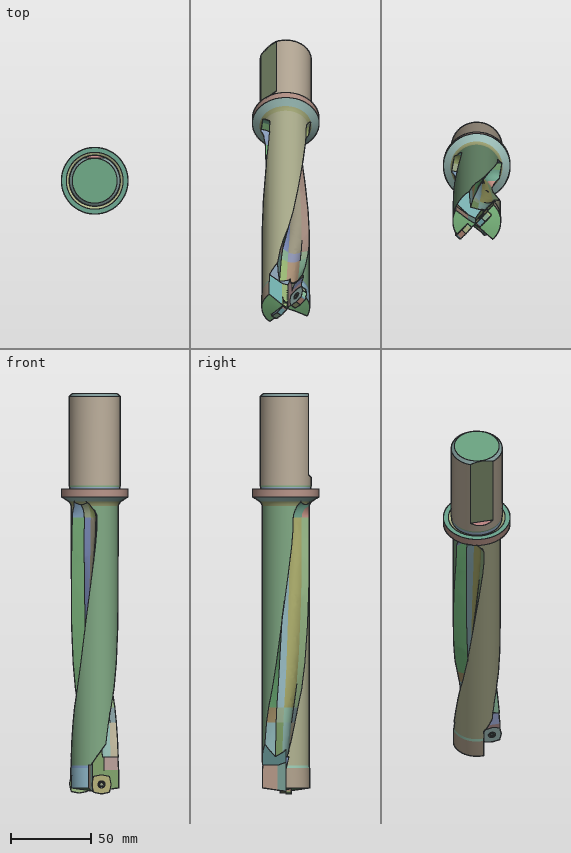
import cadquery as cq


overall_length = 249.3
shank_radius = 16.0
shank_bottom_z = 192.0
shank_chamfer_width = 2.0
shank_chamfer_height = 1.7
flat_offset = 14.2
flat_bottom_z = 197.0
neck_radius = 15.7
neck_top_z = 191.0
neck_bottom_z = 189.0
neck_recess_radius = 17.7
collar_radius = 41.6 / 2
collar_top_z = 190.0
collar_bottom_z = 185.0
cone_bottom_z = 182.0
cone_bottom_radius = 16.2
body_top_z = 179.2
blend_radius = 15.2

body_radius = 14.7
head_radius = 15.0
head_step_top_z = 17.7
head_step_bottom_z = 16.0
point_rim_z = 3.7
point_center_z = 1.5

flute_mouth = 15.0
flute_floor_start = (4.2, -5.0)
flute_floor_end = (3.7, -0.2)
flute_wall_mid = (4.7, 3.5)
flute_wall_top = (8.0, 6.2)
flute_lead_t = -10.7
flute_trail_t = 13.0
flute_end_trail_t = 8.7

lower_flute_stations = [(23.2, 151), (44.4, 163), (53.8, 171)]
upper_flute_stations = [lower_flute_stations[-1], (79.8, 193), (107.2, 208), (132, 221), (159.5, 234), (172, 236)]

rake_plane_y = 0.0
chip_slope_corner = (-2.5, 18.0)
chip_slope_rise = 1.4
center_wall = [(-1.2, rake_plane_y), (-2.5, -5.0), (-3.7, -14.2)]
outer_wall = [(2.0, rake_plane_y), (1.2, -4.0), (1.2, -14.2)]
ramp_bottom_z = 14.7
ramp_depth = 2.0
ramp_start_x = 5.7

insert_corner = 5.0
insert_bulge = 6.0
insert_corner_round = 1.0
insert_thickness = 3.5
insert_bore_diameter = 3.5
insert_seat_diameter = 4.5
insert_seat_depth = 1.7
center_insert_x = 4.2
center_insert_z = insert_bulge
outer_insert_x = -9.7
outer_insert_z = 6.5
screw_head_diameter = 4.2
screw_diameter = 3.0
screw_length = 8.5
socket_diameter = 2.37
socket_depth = 1.0


def turned_blank():
    """Shank, collar, body and pointed head, turned about Z."""
    outline = (
        cq.Workplane("XZ")
        .moveTo(0, point_center_z)
        .lineTo(head_radius, point_rim_z)
        .lineTo(head_radius, head_step_bottom_z)
        .lineTo(body_radius, head_step_top_z)
        .lineTo(body_radius, body_top_z)
        .threePointArc(
            (blend_radius, (body_top_z + cone_bottom_z) / 2),
            (cone_bottom_radius, cone_bottom_z),
        )
        .lineTo(collar_radius, collar_bottom_z)
        .lineTo(collar_radius, collar_top_z)
        .lineTo(neck_recess_radius, collar_top_z)
        .lineTo(neck_radius, neck_bottom_z)
        .lineTo(neck_radius, neck_top_z)
        .lineTo(shank_radius, shank_bottom_z)
        .lineTo(shank_radius, overall_length - shank_chamfer_height)
        .lineTo(shank_radius - shank_chamfer_width, overall_length)
        .lineTo(0, overall_length)
        .close()
    )
    return outline.revolve(360, (0, 0, 0), (0, 1, 0))


def clamping_flat():
    """Cutter for the flat on the +Y side of the shank, with a 45 degree lower end."""
    reach = 2 * (shank_radius - flat_offset)
    ledge_z = flat_bottom_z + shank_radius - flat_offset
    return (
        cq.Workplane("YZ")
        .moveTo(flat_offset, overall_length)
        .lineTo(flat_offset, ledge_z)
        .lineTo(flat_offset + reach, ledge_z - reach)
        .lineTo(flat_offset + reach, overall_length)
        .close()
        .extrude(shank_radius, both=True)
    )


def flute_section(z, angle, trail_t=flute_trail_t):
    """Flute cross-section at height z, opening in the direction of the angle."""
    return (
        cq.Workplane("XY", origin=(0, 0, z))
        .transformed(rotate=(0, 0, angle))
        .moveTo(flute_mouth, flute_lead_t)
        .lineTo(*flute_floor_start)
        .lineTo(*flute_floor_end)
        .threePointArc(flute_wall_mid, flute_wall_top)
        .lineTo(flute_mouth, trail_t)
        .close()
    )


def loft_through(sections):
    """Solid passing smoothly through the given cross-sections."""
    return cq.Workplane(cq.Solid.makeLoft([section.wire().val() for section in sections]))


def flute_cutters():
    """Twisted pieces of one flute and the curved run-out at its upper end."""
    end_station, middle_station, upper_station = lower_flute_stations
    end_section = flute_section(*end_station, flute_end_trail_t)
    end_piece = loft_through([end_section, flute_section(*middle_station)])
    middle_piece = loft_through([flute_section(*middle_station), flute_section(*upper_station)])
    long_piece = loft_through([flute_section(*station) for station in upper_flute_stations])
    run_out = flute_section(*upper_flute_stations[-1]).revolve(90, (flute_mouth, 0, 0), (flute_mouth, 1, 0))
    return [end_piece, middle_piece, long_piece, run_out]


def chip_space(wall):
    """Space in front of the insert on the -Y side, bounded by the rake plane and the given wall points."""
    reach = 2 * body_radius
    corner_x, corner_z = chip_slope_corner
    plan = (
        cq.Workplane("XY")
        .polyline([(reach, rake_plane_y), *wall, (wall[-1][0], -reach), (reach, -reach)])
        .close()
        .extrude(body_top_z)
    )
    below_slope = (
        cq.Workplane("XZ")
        .polyline([
            (-reach, 0),
            (reach, 0),
            (reach, corner_z + chip_slope_rise * (reach - corner_x)),
            (corner_x, corner_z),
            (-reach, corner_z),
        ])
        .close()
        .extrude(reach)
    )
    return plan.intersect(below_slope)


def chip_ramp():
    """Ramp that brings the deeper flute floor out to the rake plane above the insert."""
    ramp_top_z = lower_flute_stations[0][0]
    return (
        cq.Workplane("YZ", origin=(ramp_start_x, 0, 0))
        .moveTo(rake_plane_y, ramp_bottom_z)
        .lineTo(rake_plane_y + ramp_depth, ramp_top_z)
        .lineTo(rake_plane_y, ramp_top_z)
        .close()
        .extrude(body_radius)
    )


def half_turn(shape):
    """The shape turned to the opposite side of the drill axis."""
    return shape.rotate((0, 0, 0), (0, 0, 1), 180)


def insert():
    """Insert centered on the Y axis, cutting face at y = 0 toward -Y, with a stepped screw hole."""
    c, b = insert_corner, insert_bulge
    plate = (
        cq.Workplane("XZ")
        .polyline([(b, 0), (c, c), (0, b), (-c, c), (-b, 0), (-c, -c), (0, -b), (c, -c)])
        .close()
        .extrude(-insert_thickness)
    )
    for x in (-c, c):
        for z in (-c, c):
            corner_edge = cq.selectors.NearestToPointSelector((x, insert_thickness / 2, z))
            plate = plate.edges(corner_edge).fillet(insert_corner_round)
    bore = cq.Workplane("XZ").circle(insert_bore_diameter / 2).extrude(-insert_thickness)
    seat = cq.Workplane("XZ").circle(insert_seat_diameter / 2).extrude(-insert_seat_depth)
    return plate.cut(bore).cut(seat)


def screw():
    """Screw on the Y axis with its head toward -Y, flush with the cutting face."""
    head = cq.Workplane("XZ").circle(screw_head_diameter / 2).extrude(-insert_seat_depth)
    shaft = cq.Workplane("XZ").circle(screw_diameter / 2).extrude(-screw_length)
    socket = cq.Workplane("XZ").circle(socket_diameter / 2).extrude(-socket_depth)
    return head.union(shaft).cut(socket)


def at_center_pocket(shape):
    return shape.translate((center_insert_x, rake_plane_y, center_insert_z))


def at_outer_pocket(shape):
    return half_turn(shape).translate((outer_insert_x, rake_plane_y, outer_insert_z))


def insert_pocket():
    """Recess for a whole insert, with the screw hole behind it."""
    bore = cq.Workplane("XZ").circle(insert_seat_diameter / 2).extrude(-insert_thickness)
    hole = cq.Workplane("XZ").circle(screw_diameter / 2).extrude(-screw_length)
    return insert().union(bore).union(hole)


body = turned_blank().cut(clamping_flat())
for cutter in flute_cutters():
    body = body.cut(cutter).cut(half_turn(cutter))
body = body.cut(chip_space(center_wall)).cut(half_turn(chip_space(outer_wall)))
body = body.cut(chip_ramp()).cut(half_turn(chip_ramp()))
body = body.cut(at_center_pocket(insert_pocket())).cut(at_outer_pocket(insert_pocket()))

inserts = [place(insert()) for place in (at_center_pocket, at_outer_pocket)]
screws = [place(screw()) for place in (at_center_pocket, at_outer_pocket)]

result = cq.Compound.makeCompound([body.val(), *[i.val() for i in inserts], *[s.val() for s in screws]])